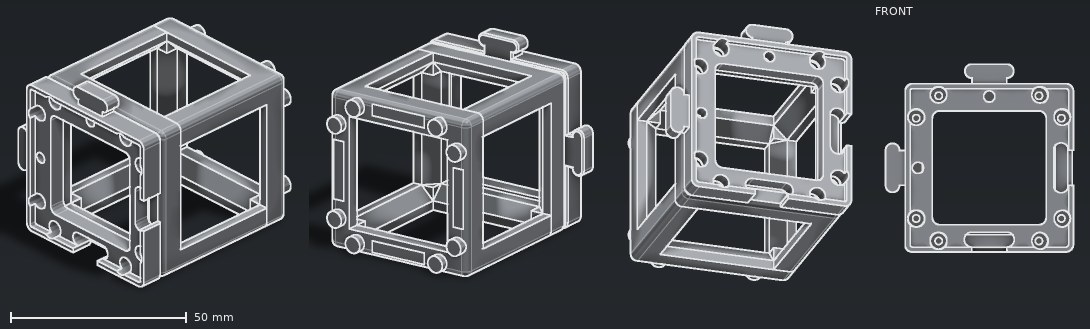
import cadquery as cq

TOTAL_DEPTH = 59.2

PLATE_SIDE = 47.95
PLATE_DEPTH = 7.0
PLATE_CORNER_RADIUS = 2.2
PLATE_EDGE_CHAMFER = 0.5
RIM_THICKNESS = 1.4
RECESS_DEPTH = 2.0
RECESS_CORNER_RADIUS = 0.75
WINDOW_SIDE = 32.3
WINDOW_CORNER_RADIUS = 2.0

TAB_REACH = 5.55
TAB_LENGTH = 14.0
TAB_WIDTH = 4.0
NECK_WIDTH = TAB_LENGTH - TAB_WIDTH
SOCKET_CLEARANCE = 0.1

CENTRE_HOLE_DIAMETER = 3.2
CENTRE_HOLE_EDGE_DISTANCE = 3.7
PLATE_HOLE_DIAMETER = 4.7
PLATE_HOLE_NEAR = 14.45
PLATE_HOLE_FAR = 20.8

CUBE_SIDE = 47.65
CUBE_DEPTH = 50.0
CUBE_OFFSET = (CUBE_SIDE - PLATE_SIDE) / 2
CUBE_FILLET = 2.0
OPENING = 34.0
BAR_CHAMFER = 4.0

RELIEF_LENGTH = 18.0
RELIEF_INNER_SPAN = 37.9
RELIEF_DEPTH = 0.1

PEG_DIAMETER = 5.0
PEG_LENGTH = TOTAL_DEPTH - PLATE_DEPTH - CUBE_DEPTH
PEG_NEAR = 14.25
PEG_FAR = 20.65
PILOT_DIAMETER = 2.1
PILOT_DEPTH = 5.0


def facing_front(y):
    """Plane of local axes +X and +Z at depth y, from which negative lengths extrude toward +Y."""
    return cq.Workplane("XZ", origin=(0, y, 0))


def ring_points(near, far):
    """Eight points, two beside each corner of a square."""
    points = []
    for a in (-1, 1):
        for b in (-1, 1):
            points.append((a * near, b * far))
            points.append((a * far, b * near))
    return points


def top_tab(depth, clearance):
    """Tab standing on the top edge of the plate, running forward from the rear face of the plate."""
    width = TAB_WIDTH + 2 * clearance
    bar_centre = PLATE_SIDE / 2 + TAB_REACH - TAB_WIDTH / 2
    bar = (
        facing_front(PLATE_DEPTH)
        .center(0, bar_centre)
        .slot2D(TAB_LENGTH + 2 * clearance, width)
        .extrude(depth)
    )
    neck_length = bar_centre - PLATE_SIDE / 2 + RIM_THICKNESS
    neck = (
        facing_front(PLATE_DEPTH)
        .center(0, bar_centre - neck_length / 2)
        .rect(NECK_WIDTH, neck_length)
        .extrude(depth)
    )
    return bar.union(neck)


def left_copy(top_feature):
    """Copy of a feature turned about the Y axis, from the top side to the left side."""
    return top_feature.rotate((0, 0, 0), (0, 1, 0), -90)


def make_plate():
    plate = (
        facing_front(0)
        .rect(PLATE_SIDE, PLATE_SIDE)
        .extrude(-PLATE_DEPTH)
        .edges("|Y")
        .fillet(PLATE_CORNER_RADIUS)
    )
    tab = top_tab(PLATE_DEPTH - RECESS_DEPTH, 0)
    plate = plate.union(tab).union(left_copy(tab))
    plate = plate.faces(">Y").chamfer(PLATE_EDGE_CHAMFER)

    recess_side = PLATE_SIDE - 2 * RIM_THICKNESS
    recess = (
        facing_front(0)
        .rect(recess_side, recess_side)
        .extrude(-RECESS_DEPTH)
        .edges("|Y")
        .fillet(RECESS_CORNER_RADIUS)
    )
    window = (
        facing_front(0)
        .rect(WINDOW_SIDE, WINDOW_SIDE)
        .extrude(-PLATE_DEPTH)
        .edges("|Y")
        .fillet(WINDOW_CORNER_RADIUS)
    )
    socket = top_tab(PLATE_DEPTH, SOCKET_CLEARANCE)
    bottom_socket = socket.translate((0, 0, -PLATE_SIDE))
    right_socket = left_copy(socket).translate((PLATE_SIDE, 0, 0))
    plate = plate.cut(recess).cut(window).cut(bottom_socket).cut(right_socket)

    holes = (
        facing_front(0)
        .pushPoints(ring_points(PLATE_HOLE_NEAR, PLATE_HOLE_FAR))
        .circle(PLATE_HOLE_DIAMETER / 2)
        .extrude(-PLATE_DEPTH)
    )
    centre_distance = PLATE_SIDE / 2 - CENTRE_HOLE_EDGE_DISTANCE
    centre_holes = (
        facing_front(0)
        .pushPoints([(0, centre_distance), (-centre_distance, 0)])
        .circle(CENTRE_HOLE_DIAMETER / 2)
        .extrude(-PLATE_DEPTH)
    )
    return plate.cut(holes).cut(centre_holes)


def bar_chamfer(plane, a, b):
    """Triangular cutter for the inner edge of the bar on side (a, b) of the cube."""
    edge = OPENING / 2
    corner = edge + BAR_CHAMFER
    return (
        cq.Workplane(plane)
        .polyline([(a * edge, b * edge), (a * corner, b * edge), (a * edge, b * corner)])
        .close()
        .extrude(edge, both=True)
    )


def end_reliefs():
    """Cutters for the shallow reliefs, each open toward the outer side of its bar."""
    upright = cq.Workplane().box(RELIEF_LENGTH, CUBE_DEPTH, CUBE_SIDE)
    cross = upright.union(left_copy(upright))
    inner = cq.Workplane().box(RELIEF_INNER_SPAN, CUBE_DEPTH, RELIEF_INNER_SPAN)
    middle = cq.Workplane().box(CUBE_SIDE, CUBE_DEPTH - 2 * RELIEF_DEPTH, CUBE_SIDE)
    return cross.cut(inner).cut(middle)


def make_frame():
    """Whole cube frame, centred on the origin, before it is split in two."""
    frame = cq.Workplane().box(CUBE_SIDE, CUBE_DEPTH, CUBE_SIDE).edges().fillet(CUBE_FILLET)
    for plane in ("XY", "YZ", "XZ"):
        frame = frame.cut(cq.Workplane(plane).rect(OPENING, OPENING).extrude(CUBE_DEPTH, both=True))
    for plane in ("XY", "YZ", "XZ"):
        for a in (-1, 1):
            for b in (-1, 1):
                frame = frame.cut(bar_chamfer(plane, a, b))
    frame = frame.cut(end_reliefs())

    front = facing_front(-CUBE_DEPTH / 2)
    points = ring_points(PEG_NEAR, PEG_FAR)
    frame = frame.cut(front.pushPoints(points).circle(PEG_DIAMETER / 2).extrude(-PEG_LENGTH))
    frame = frame.cut(front.pushPoints(points).circle(PILOT_DIAMETER / 2).extrude(-PILOT_DEPTH))

    peg_start = CUBE_DEPTH / 2 - CUBE_FILLET
    pegs = (
        facing_front(peg_start)
        .pushPoints(points)
        .circle(PEG_DIAMETER / 2)
        .extrude(-CUBE_FILLET - PEG_LENGTH)
    )
    return frame.union(pegs)


def front_half_region():
    """Space of the front half: the front bars, the top-left bar and the bottom-right bar."""
    bar_width = (CUBE_SIDE - OPENING) / 2
    bar_centre = (OPENING + bar_width) / 2
    end_depth = (CUBE_DEPTH - OPENING) / 2
    region = cq.Workplane().box(CUBE_SIDE, end_depth, CUBE_SIDE)
    region = region.translate((0, -(OPENING + end_depth) / 2, 0))
    for side in (-1, 1):
        bar = cq.Workplane().box(bar_width, OPENING, bar_width)
        region = region.union(bar.translate((side * bar_centre, 0, -side * bar_centre)))
    return region


CUBE_CENTRE = (CUBE_OFFSET, PLATE_DEPTH + CUBE_DEPTH / 2, CUBE_OFFSET)

plate = make_plate()
frame = make_frame()
region = front_half_region()
front_half = frame.intersect(region).translate(CUBE_CENTRE)
back_half = frame.cut(region).translate(CUBE_CENTRE)

bodies = [plate, front_half, back_half]
result = cq.Compound.makeCompound([body.solids().val() for body in bodies])